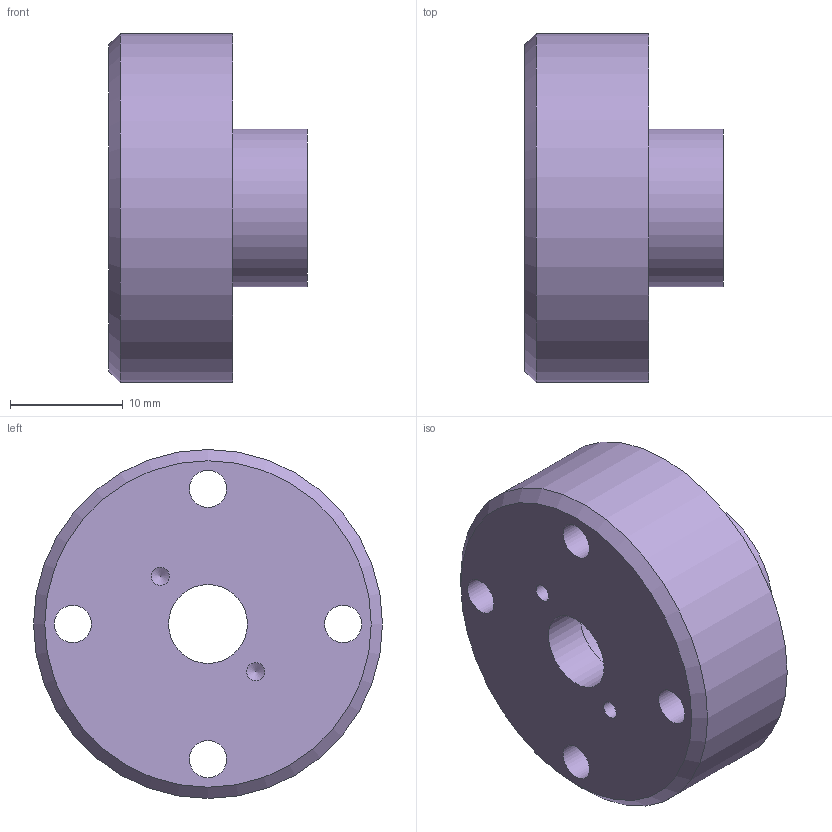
import cadquery as cq
import math

flange_diameter = 31.0
flange_thickness = 11.0
flange_chamfer = 1.0
hub_diameter = 14.0
total_length = 17.6

bore_diameter = 7.0
narrow_bore_length = 4.0
wide_bore_diameter = 10.0

screw_hole_diameter = 3.3
screw_circle_radius = 12.0
screw_hole_count = 4

pin_hole_diameter = 1.6
pin_circle_radius = 6.0
pin_hole_depth = 3.0
pin_angles = (45.0, 225.0)
drill_point_angle = 118.0


def axial_cylinder(diameter, length):
    """Cylinder on the X axis, starting at the flange face X = 0."""
    return cq.Workplane("YZ").circle(diameter / 2).extrude(length)


def place_on_circle(shape, radius, angle):
    """Move an axial shape to a polar position, the angle running from +Y towards +Z."""
    angle_rad = math.radians(angle)
    return shape.translate((0, radius * math.cos(angle_rad), radius * math.sin(angle_rad)))


def make_body():
    flange = axial_cylinder(flange_diameter, flange_thickness)
    flange = flange.faces("<X").chamfer(flange_chamfer)
    return flange.union(axial_cylinder(hub_diameter, total_length))


def make_pin_drill():
    """Drill shape revolved about X: a straight hole ending in a cone."""
    radius = pin_hole_diameter / 2
    point_length = radius / math.tan(math.radians(drill_point_angle / 2))
    profile = (
        cq.Workplane("XY")
        .moveTo(0, 0)
        .lineTo(0, radius)
        .lineTo(pin_hole_depth, radius)
        .lineTo(pin_hole_depth + point_length, 0)
        .close()
    )
    return profile.revolve(360, (0, 0, 0), (1, 0, 0))


def cut_bore(body):
    wide_bore = axial_cylinder(wide_bore_diameter, total_length - narrow_bore_length)
    body = body.cut(wide_bore.translate((narrow_bore_length, 0, 0)))
    return body.cut(axial_cylinder(bore_diameter, narrow_bore_length))


def cut_screw_holes(body):
    drill = axial_cylinder(screw_hole_diameter, flange_thickness)
    for index in range(screw_hole_count):
        angle = index * 360 / screw_hole_count
        body = body.cut(place_on_circle(drill, screw_circle_radius, angle))
    return body


def cut_pin_holes(body):
    drill = make_pin_drill()
    for angle in pin_angles:
        body = body.cut(place_on_circle(drill, pin_circle_radius, angle))
    return body


result = cut_pin_holes(cut_screw_holes(cut_bore(make_body())))